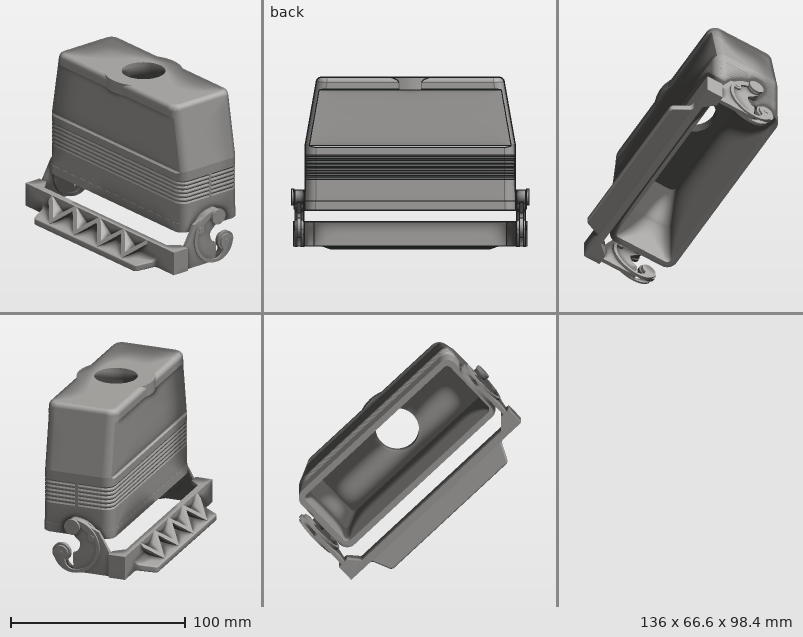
import cadquery as cq
import math


HOOD_HALF_X = 60.1
HOOD_HALF_Y = 21.6
HOOD_HEIGHT = 76.2
HOOD_TOP_HALF_X = 53.3
TAPER_START_Z = 37.4
CORNER_RADIUS = 6.1
TOP_FILLET = 3.1
WALL = 3.4
RIM_HEIGHT = 5.3
RIM_STEP = 0.1

RECESS_DEPTH = 1.2
RECESS_BOTTOM_Z = 35.9
RECESS_BOTTOM_SLOPE = 1.1
RECESS_TOP_Z = 68.8
RECESS_TOP_SLOPE = 0.7

CABLE_HOLE_RADIUS = 12.5
BOSS_RADIUS = 22.6

GROOVE_COUNT = 6
GROOVE_PITCH = 2.5
GROOVE_WIDTH = 1.8
GROOVE_DEPTH = 0.5
FIRST_GROOVE_Z = 18.6
END_RIB_WIDTH = 1.8

PIVOT_Z = 7.6
PIN_RADIUS = 2.7
PIN_HEAD_RADIUS = 4.6
PIN_HEAD_X = 66.5
PIN_END_X = 68
CHEEK_INNER_X = 60.8
CHEEK_OUTER_X = 66.0
ARM_INNER_X = 62.5
ARM_OUTER_X = 64.7
RIVET_OUTER_X = 66.4
RIVET_RADIUS = 1.4
RIVET_Y = -11.5
RIVET_Z = 2.0
RIVET_PAD_RADIUS = 2.6
PIVOT_EYE_RADIUS = 4.1
STRIP_CENTRE_Z = -4.6
STRIP_OUTER_RADIUS = 16.2
STRIP_INNER_RADIUS = 14.3
STRIP_WIDE_RADIUS = 12.8
STRIP_STEP_ANGLE = math.radians(150)
ROLLER_Y = 7.6
ROLLER_Z = -9.9
ROLLER_RADIUS = 5.6
ROLLER_CHEEK_RADIUS = 4.4
GAP_CUTTER_SIZE = 81.6

HOOK_OUTER_MIDDLE = (9.7, -16.0)
HOOK_INNER_MIDDLE = (3.5, -17.3)
HOOK_INNER_END = (5.0, -14.1)

ARM_TOP_MIDDLE = (-4.8, 10.9)
ARM_TOP_END = (-9.2, 8.3)
ARM_SHOULDER = (-15.5, 5.5)
NOTCH_START = (0.5, -9.4)
NOTCH_MIDDLE = (-2.7, -7.1)
NOTCH_END = (-3.7, -1.6)
ARM_PIVOT_EDGE = (3.3, 4.6)

BAR_HALF_X = 66.8
BAR_BOTTOM_Z = -20.4
BAR_TOP_Z = -6.4
BAR_END_Y = -22.2
BAR_BACK_Y = -28.4
BAR_FRONT_Y = -32.5
BAR_END_INNER_X = 60.5
BAR_BEVEL_INNER_X = 55.0

LIP_ROOT_HALF_X = 51.0
LIP_TIP_HALF_X = 45.5
LIP_TIP_Y = -44.0
LIP_ROOT_TOP_Z = -16.3
LIP_DROP = 2.0
LIP_TIP_THICKNESS = 4.0
LIP_CORNER_RADIUS = 2.7
LIP_EDGE_FILLET = 0.8
LIP_ROOT_FILLET = 2.7

WAVE_COUNT = 4
WAVE_PITCH = 21.6
WAVE_PEAK_Z = -8.7
WAVE_DROP = 9.4
WAVE_THICKNESS_Z = 2.9
CHANNEL_RISE = 1.6
SLOPE_END_Y = -43.4


def hood_body(inset, bottom_z, top_z):
    """Tapered block with rounded corners, drawn in from the hood's sides by `inset`."""
    slope = (HOOD_HALF_X - HOOD_TOP_HALF_X) / (HOOD_HEIGHT - TAPER_START_Z)
    base_x = HOOD_HALF_X - inset
    top_x = base_x - slope * (top_z - TAPER_START_Z)
    half_y = HOOD_HALF_Y - inset
    outline = [
        (-base_x, bottom_z), (base_x, bottom_z), (base_x, TAPER_START_Z),
        (top_x, top_z), (-top_x, top_z), (-base_x, TAPER_START_Z),
    ]
    block = cq.Workplane("XZ").polyline(outline).close().extrude(half_y, both=True)
    corners = block.edges("not (|X or |Y)")
    return corners.fillet(CORNER_RADIUS - inset)


def side_recess(side):
    """Cutter for the recess on one long face; side is +1 or -1 in Y."""
    outer_y = HOOD_HALF_Y + RIM_STEP
    floor_y = HOOD_HALF_Y - RECESS_DEPTH
    outline = [
        (side * outer_y, RECESS_BOTTOM_Z),
        (side * floor_y, RECESS_BOTTOM_Z + RECESS_BOTTOM_SLOPE),
        (side * floor_y, RECESS_TOP_Z),
        (side * outer_y, RECESS_TOP_Z + RECESS_TOP_SLOPE),
    ]
    return cq.Workplane("YZ").polyline(outline).close().extrude(HOOD_HALF_X, both=True)


def groove_ring():
    """Cutter for one V groove, centred on Z = 0 and interrupted by a rib at each end."""
    half_width = GROOVE_WIDTH / 2
    taper = math.degrees(math.atan(GROOVE_DEPTH / half_width))
    length = 2 * HOOD_HALF_X
    depth = 2 * HOOD_HALF_Y
    margin = 2.7
    slab = cq.Workplane("XY").box(length + margin, depth + margin, GROOVE_WIDTH)
    core = (
        cq.Workplane("XY").workplane(offset=half_width)
        .sketch().rect(length, depth).vertices().fillet(CORNER_RADIUS).finalize()
        .extrude(-half_width, taper=taper)
    )
    core = core.union(core.mirror("XY"))
    rib_gap = cq.Workplane("XY").box(length + margin, END_RIB_WIDTH, GROOVE_WIDTH)
    return slab.cut(core).cut(rib_gap)


def hood():
    body = hood_body(0, 0, HOOD_HEIGHT)
    body = body.faces(">Z").edges().fillet(TOP_FILLET)
    for side in (1, -1):
        body = body.cut(side_recess(side))

    rim = (
        cq.Workplane("XY")
        .sketch().rect(2 * (HOOD_HALF_X + RIM_STEP), 2 * (HOOD_HALF_Y + RIM_STEP))
        .vertices().fillet(CORNER_RADIUS).finalize()
        .extrude(RIM_HEIGHT)
    )
    boss = (
        cq.Workplane("XY").workplane(offset=RECESS_TOP_Z)
        .circle(BOSS_RADIUS).extrude(HOOD_HEIGHT - RECESS_TOP_Z)
    )
    body = body.union(rim).union(boss)

    ring = groove_ring()
    for index in range(GROOVE_COUNT):
        body = body.cut(ring.translate((0, 0, FIRST_GROOVE_Z + index * GROOVE_PITCH)))

    cable_hole = cq.Workplane("XY").circle(CABLE_HOLE_RADIUS).extrude(HOOD_HEIGHT)
    return body.cut(hood_body(WALL, 0, RECESS_TOP_Z)).cut(cable_hole)


def disc(y, z, radius, inner_x, outer_x):
    """Round disc with its axis along X."""
    return (
        cq.Workplane("YZ", origin=(inner_x, y, z))
        .circle(radius).extrude(outer_x - inner_x)
    )


def on_strip(radius, angle):
    """(Y, Z) of a point on the curved strip, with the angle measured from +Y."""
    return (radius * math.cos(angle), STRIP_CENTRE_Z + radius * math.sin(angle))


def cheek_plates():
    """Curved strip from the pivot round to the roller, on both faces of the arm."""
    up = math.pi / 2
    outward = math.pi
    down = 3 * math.pi / 2
    lower_middle = (STRIP_STEP_ANGLE + down) / 2
    upper_middle = (STRIP_STEP_ANGLE + up) / 2
    strip = (
        cq.Workplane("YZ", origin=(CHEEK_INNER_X, 0, 0))
        .moveTo(*on_strip(STRIP_OUTER_RADIUS, up))
        .threePointArc(on_strip(STRIP_OUTER_RADIUS, outward), on_strip(STRIP_OUTER_RADIUS, down))
        .threePointArc(HOOK_OUTER_MIDDLE, (ROLLER_Y + ROLLER_CHEEK_RADIUS, ROLLER_Z))
        .lineTo(ROLLER_Y, ROLLER_Z)
        .lineTo(*HOOK_INNER_END)
        .threePointArc(HOOK_INNER_MIDDLE, on_strip(STRIP_INNER_RADIUS, down))
        .threePointArc(
            on_strip(STRIP_INNER_RADIUS, lower_middle),
            on_strip(STRIP_INNER_RADIUS, STRIP_STEP_ANGLE),
        )
        .lineTo(*on_strip(STRIP_WIDE_RADIUS, STRIP_STEP_ANGLE))
        .threePointArc(
            on_strip(STRIP_WIDE_RADIUS, upper_middle), on_strip(STRIP_WIDE_RADIUS, up)
        )
        .close().extrude(CHEEK_OUTER_X - CHEEK_INNER_X)
    )
    span = (CHEEK_INNER_X, CHEEK_OUTER_X)
    plates = (
        strip.union(disc(0, PIVOT_Z, PIVOT_EYE_RADIUS, *span))
        .union(disc(RIVET_Y, RIVET_Z, RIVET_PAD_RADIUS, *span))
        .union(disc(ROLLER_Y, ROLLER_Z, ROLLER_CHEEK_RADIUS, *span))
    )
    gap = cq.Workplane("XY").box(ARM_OUTER_X - ARM_INNER_X, GAP_CUTTER_SIZE, GAP_CUTTER_SIZE)
    return plates.cut(gap.translate(((ARM_OUTER_X + ARM_INNER_X) / 2, 0, 0)))


def arm_plate():
    """Flat middle plate that joins the pivot to the cross bar."""
    plate = (
        cq.Workplane("YZ", origin=(ARM_INNER_X, 0, 0))
        .moveTo(0, PIVOT_Z + PIVOT_EYE_RADIUS)
        .threePointArc(ARM_TOP_MIDDLE, ARM_TOP_END)
        .lineTo(*ARM_SHOULDER)
        .lineTo(BAR_END_Y, BAR_TOP_Z)
        .lineTo(BAR_BACK_Y, BAR_TOP_Z)
        .lineTo(BAR_BACK_Y, BAR_BOTTOM_Z)
        .lineTo(0, BAR_BOTTOM_Z)
        .lineTo(*NOTCH_START)
        .threePointArc(NOTCH_MIDDLE, NOTCH_END)
        .lineTo(*ARM_PIVOT_EDGE)
        .lineTo(0, PIVOT_Z)
        .close().extrude(ARM_OUTER_X - ARM_INNER_X)
    )
    return plate.union(disc(0, PIVOT_Z, PIVOT_EYE_RADIUS, ARM_INNER_X, ARM_OUTER_X))


def lever_end():
    """Everything at the +X end of the lever, with the pivot pin that carries it."""
    return (
        arm_plate()
        .union(cheek_plates())
        .union(disc(ROLLER_Y, ROLLER_Z, ROLLER_RADIUS, ARM_INNER_X, ARM_OUTER_X))
        .union(disc(RIVET_Y, RIVET_Z, RIVET_RADIUS, CHEEK_INNER_X, RIVET_OUTER_X))
        .union(disc(ROLLER_Y, ROLLER_Z, RIVET_RADIUS, CHEEK_INNER_X, RIVET_OUTER_X))
        .union(disc(0, PIVOT_Z, PIN_RADIUS, HOOD_HALF_X - WALL, PIN_HEAD_X))
        .union(disc(0, PIVOT_Z, PIN_HEAD_RADIUS, PIN_HEAD_X, PIN_END_X))
    )


def cross_bar():
    outline = [
        (-BAR_HALF_X, BAR_FRONT_Y), (BAR_HALF_X, BAR_FRONT_Y),
        (BAR_HALF_X, BAR_END_Y), (BAR_END_INNER_X, BAR_END_Y),
        (BAR_BEVEL_INNER_X, BAR_BACK_Y), (-BAR_BEVEL_INNER_X, BAR_BACK_Y),
        (-BAR_END_INNER_X, BAR_END_Y), (-BAR_HALF_X, BAR_END_Y),
    ]
    return (
        cq.Workplane("XY").workplane(offset=BAR_BOTTOM_Z)
        .polyline(outline).close().extrude(BAR_TOP_Z - BAR_BOTTOM_Z)
    )


def grip_lip():
    """Sloping finger lip along the lower front of the bar, flared where it meets the bar."""
    back_y = BAR_BACK_Y
    tip_top_z = LIP_ROOT_TOP_Z - LIP_DROP
    tip_bottom_z = tip_top_z - LIP_TIP_THICKNESS
    section = [
        (back_y, BAR_TOP_Z), (BAR_FRONT_Y, BAR_TOP_Z), (BAR_FRONT_Y, LIP_ROOT_TOP_Z),
        (LIP_TIP_Y, tip_top_z), (LIP_TIP_Y, tip_bottom_z),
        (BAR_FRONT_Y, BAR_BOTTOM_Z), (back_y, BAR_BOTTOM_Z),
    ]
    plan = [
        (-BAR_BEVEL_INNER_X, back_y), (-BAR_BEVEL_INNER_X, BAR_FRONT_Y),
        (-LIP_ROOT_HALF_X, BAR_FRONT_Y), (-LIP_TIP_HALF_X, LIP_TIP_Y),
        (LIP_TIP_HALF_X, LIP_TIP_Y), (LIP_ROOT_HALF_X, BAR_FRONT_Y),
        (BAR_BEVEL_INNER_X, BAR_FRONT_Y), (BAR_BEVEL_INNER_X, back_y),
    ]
    slab = (
        cq.Workplane("YZ").polyline(section).close().extrude(BAR_BEVEL_INNER_X, both=True)
        .edges(cq.selectors.NearestToPointSelector((0, BAR_FRONT_Y, LIP_ROOT_TOP_Z)))
        .fillet(LIP_ROOT_FILLET)
    )
    column = (
        cq.Workplane("XY").workplane(offset=tip_bottom_z)
        .polyline(plan).close().extrude(BAR_TOP_Z - tip_bottom_z)
    )
    column = column.edges("|Z and <Y").fillet(LIP_CORNER_RADIUS)
    middle_z = (BAR_TOP_Z + tip_bottom_z) / 2
    for side in (1, -1):
        root = (side * LIP_ROOT_HALF_X, BAR_FRONT_Y, middle_z)
        column = column.edges(cq.selectors.NearestToPointSelector(root)).fillet(LIP_ROOT_FILLET)
    lip = slab.intersect(column)
    return lip.faces("<Y").edges().fillet(LIP_EDGE_FILLET)


def rib_channel(run):
    """Cutter for one V channel of the rib; its floor falls away from the bar."""
    half_pitch = WAVE_PITCH / 2
    peak_z = WAVE_PEAK_Z + WAVE_THICKNESS_Z
    valley_z = peak_z - WAVE_DROP
    return (
        cq.Workplane("XZ", origin=(0, BAR_FRONT_Y, 0))
        .polyline([(-half_pitch, peak_z), (half_pitch, peak_z), (0, valley_z + CHANNEL_RISE)])
        .close()
        .workplane(offset=run)
        .polyline([(-half_pitch, peak_z), (half_pitch, peak_z), (0, valley_z)])
        .close()
        .loft(ruled=True)
    )


def zigzag_rib():
    """Corrugated sheet running out from the bar with its top cut off by a sloping plane."""
    half_pitch = WAVE_PITCH / 2
    start_x = -WAVE_COUNT * half_pitch
    lower = []
    for index in range(2 * WAVE_COUNT + 1):
        drop = WAVE_DROP if index % 2 else 0
        lower.append((start_x + index * half_pitch, WAVE_PEAK_Z - drop))
    end_x = -start_x
    outline = lower + [(end_x, BAR_TOP_Z), (start_x, BAR_TOP_Z)]
    run = BAR_FRONT_Y - SLOPE_END_Y
    rib = (
        cq.Workplane("XZ", origin=(0, BAR_FRONT_Y, 0))
        .polyline(outline).close().extrude(run)
    )
    slope_end_z = WAVE_PEAK_Z - WAVE_DROP
    slope = [(BAR_FRONT_Y, BAR_TOP_Z), (SLOPE_END_Y, slope_end_z), (BAR_FRONT_Y, slope_end_z)]
    rib = rib.intersect(cq.Workplane("YZ").polyline(slope).close().extrude(end_x, both=True))
    channel = rib_channel(run)
    for index in range(WAVE_COUNT):
        rib = rib.cut(channel.translate((start_x + (index + 0.5) * WAVE_PITCH, 0, 0)))
    return rib


right_end = lever_end()
lever = cross_bar().union(grip_lip()).union(zigzag_rib())
lever = lever.union(right_end).union(right_end.mirror("YZ"))
result = hood().union(lever)